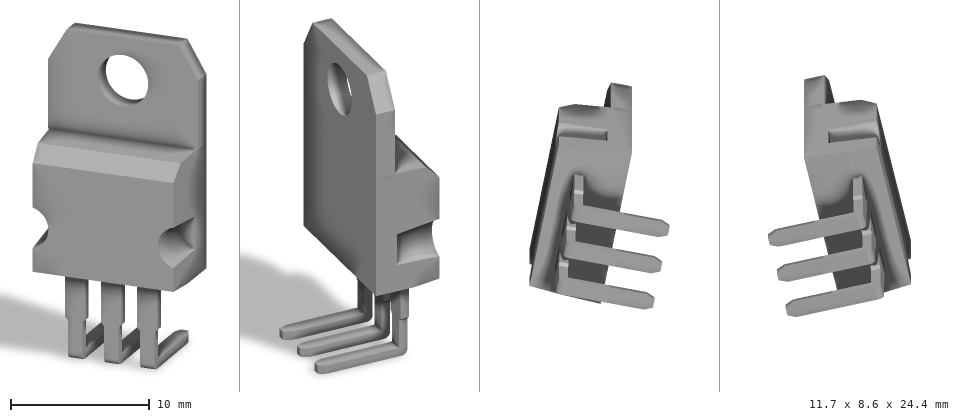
import cadquery as cq
import math


width = 11.73
total_height = 24.45
tab_thickness = 1.55
tab_top_half_width = 4.4
tab_corner_height = 2.5
hole_diameter = 3.93
hole_z = 21.12

housing_depth = 5.3
housing_top_z = 16.62
housing_bottom_z = 6.97
draft_angle = 4.0
bottom_draft_angle = 3.0
front_bevel = 1.15

notch_z = 10.31
notch_front_radius = 1.6
notch_floor_radius = 1.27
notch_floor_y = -1.75

lead_count = 3
lead_pitch = 2.8
lead_thickness = 0.68
lead_wide = 1.56
lead_narrow = 1.12
lead_back_y = -3.1
lead_tip_y = 3.3
lead_tip_width = 0.59
lead_tip_taper = 0.6
lead_shoulder_z = 3.18
lead_bend_radius = 0.5
lead_embed = 0.98


def drop(length, angle):
    """Sideways shift of a drafted face over a given length."""
    return length * math.tan(math.radians(angle))


def make_tab():
    half_width = width / 2
    corner_z = total_height - tab_corner_height
    outline = [
        (-half_width, housing_top_z),
        (half_width, housing_top_z),
        (half_width, corner_z),
        (tab_top_half_width, total_height),
        (-tab_top_half_width, total_height),
        (-half_width, corner_z),
    ]
    plate = cq.Workplane("XZ").polyline(outline).close().extrude(tab_thickness)
    hole = cq.Workplane("XZ").center(0, hole_z).circle(hole_diameter / 2).extrude(tab_thickness)
    return plate.cut(hole)


def make_notch(side):
    """Tapered round notch centred on one edge of the housing, open at the front."""
    depth = housing_depth + notch_floor_y
    return cq.Workplane(
        cq.Solid.makeCone(
            notch_floor_radius,
            notch_front_radius,
            depth,
            cq.Vector(side * width / 2, notch_floor_y, notch_z),
            cq.Vector(0, -1, 0),
        )
    )


def make_housing():
    bevel_y = front_bevel - housing_depth
    bevel_z = housing_top_z - drop(-bevel_y - tab_thickness, draft_angle)
    ridge_z = housing_bottom_z - drop(-lead_back_y, bottom_draft_angle)
    front_bottom_z = ridge_z + drop(housing_depth + lead_back_y, bottom_draft_angle)
    side_profile = [
        (0, housing_bottom_z),
        (0, housing_top_z),
        (-tab_thickness, housing_top_z),
        (bevel_y, bevel_z),
        (-housing_depth, bevel_z - front_bevel),
        (-housing_depth, front_bottom_z),
        (lead_back_y, ridge_z),
    ]
    block = cq.Workplane("YZ").polyline(side_profile).close().extrude(width / 2, both=True)

    front_half_width = width / 2 - drop(housing_depth, draft_angle)
    plan_outline = [
        (-width / 2, 0),
        (width / 2, 0),
        (front_half_width, -housing_depth),
        (-front_half_width, -housing_depth),
    ]
    plan = cq.Workplane("XY").polyline(plan_outline).close().extrude(total_height)
    block = block.intersect(plan)
    for side in (-1, 1):
        block = block.cut(make_notch(side))
    return block


def make_lead(x):
    lead_front_y = lead_back_y - lead_thickness
    lead_top_z = housing_bottom_z + lead_embed
    strip = (
        cq.Workplane("YZ")
        .moveTo(lead_front_y, lead_top_z)
        .lineTo(lead_back_y, lead_top_z)
        .lineTo(lead_back_y, lead_thickness)
        .lineTo(lead_tip_y, lead_thickness)
        .lineTo(lead_tip_y, 0)
        .lineTo(lead_front_y + lead_bend_radius, 0)
        .radiusArc((lead_front_y, lead_bend_radius), lead_bend_radius)
        .close()
        .extrude(lead_wide / 2, both=True)
    )

    neck_z = lead_shoulder_z - (lead_wide - lead_narrow) / 2
    front_outline = [
        (-lead_narrow / 2, 0),
        (lead_narrow / 2, 0),
        (lead_narrow / 2, neck_z),
        (lead_wide / 2, lead_shoulder_z),
        (lead_wide / 2, lead_top_z),
        (-lead_wide / 2, lead_top_z),
        (-lead_wide / 2, lead_shoulder_z),
        (-lead_narrow / 2, neck_z),
    ]
    front_shape = (
        cq.Workplane("XZ", origin=(0, lead_tip_y, 0))
        .polyline(front_outline)
        .close()
        .extrude(lead_tip_y - lead_front_y)
    )

    taper_y = lead_tip_y - lead_tip_taper
    plan_outline = [
        (-lead_wide / 2, lead_front_y),
        (lead_wide / 2, lead_front_y),
        (lead_wide / 2, lead_back_y),
        (lead_narrow / 2, lead_back_y),
        (lead_narrow / 2, taper_y),
        (lead_tip_width / 2, lead_tip_y),
        (-lead_tip_width / 2, lead_tip_y),
        (-lead_narrow / 2, taper_y),
        (-lead_narrow / 2, lead_back_y),
        (-lead_wide / 2, lead_back_y),
    ]
    plan = cq.Workplane("XY").polyline(plan_outline).close().extrude(lead_top_z)
    return strip.intersect(front_shape).intersect(plan).translate((x, 0, 0))


tab = make_tab()
housing = make_housing()
leads = []
for index in range(lead_count):
    lead = make_lead((index - (lead_count - 1) / 2) * lead_pitch)
    housing = housing.cut(lead)
    leads.append(lead)

bodies = [tab, housing, *leads]
result = cq.Compound.makeCompound([body.solids().val() for body in bodies])